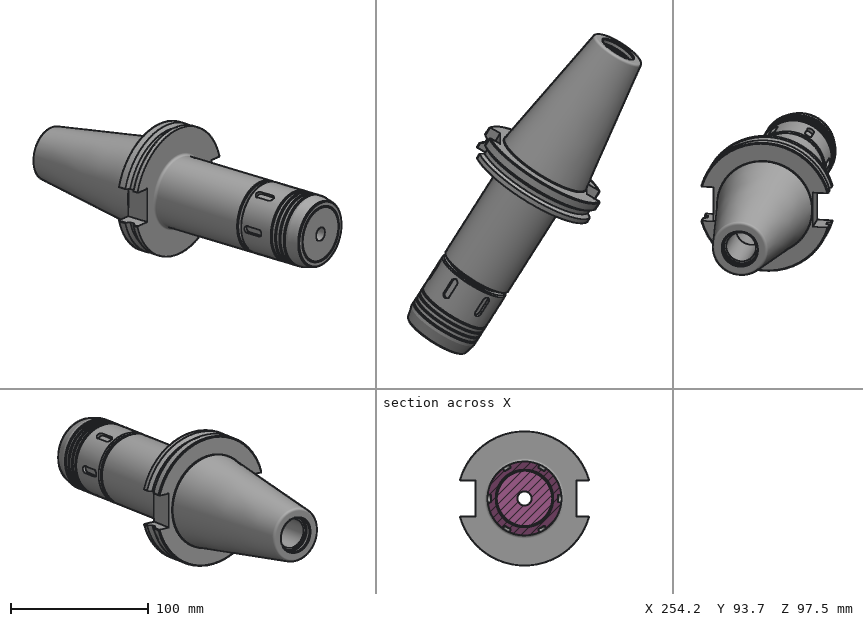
import cadquery as cq
import math

total_length = 254.2

taper_large_dia = 70.0
taper_length = 102.0
taper_ratio = 7 / 24
taper_small_dia = taper_large_dia - taper_length * taper_ratio
taper_end_fillet = 2.0
seat_dia = 70.5

flange_dia = 97.5
flange_start = 102.7
flange_end = 120.7
flange_chamfer = 0.8
groove_start = 109.3
groove_end = 117.0
groove_depth = 3.0
groove_side_run = 2.0

drive_slot_width = 26.0
drive_slot_floor_back = 37.9
drive_slot_floor_front = 35.5
drive_slot_edge_chamfer = 0.5

body_dia = 54.0
body_end = 198.5
body_end_chamfer = 0.8
body_root_fillet = 2.0
collar_dia = 42.0
collar_end = 199.3
neck_dia = 40.5

mouth_dia = 27.0
mouth_chamfer_length = 1.0
clearance_dia = 26.0
clearance_depth = 4.0
step_dia = 25.0
step_depth = 5.3
drawbar_bore_dia = 21.9
drawbar_bore_depth = 45.8
drill_tip_angle = 118.0
coolant_dia = 10.2

sleeve_dia = 42.5

nut_dia = body_dia
nut_start = 200.8
nut_rear_chamfer = 1.0
nose_start = 245.3
nose_end = 253.5
nose_dia = 49.8
nose_chamfer = total_length - nose_end

grip_groove_count = 4
grip_groove_first = 229.8
grip_groove_pitch = 4.0
grip_groove_width = 1.0
grip_groove_depth = 0.5

spanner_slot_count = 6
spanner_slot_center = 212.7
spanner_slot_length = 16.0
spanner_slot_width = 5.3
spanner_slot_depth = 2.5


def revolve_profile(points):
    """Solid of revolution about X from a closed outline of (x, radius) points."""
    outline = cq.Workplane("XY").polyline(points).close()
    return outline.revolve(360, (0, 0, 0), (1, 0, 0))


def tube(start, end, outer_dia, inner_dia):
    """Plain tube along X."""
    rings = cq.Workplane("YZ", origin=(start, 0, 0)).circle(outer_dia / 2).circle(inner_dia / 2)
    return rings.extrude(end - start)


def shank_blank():
    """Taper, seat, body, collar and neck turned in one piece, without the flange."""
    body_radius = body_dia / 2
    blank = revolve_profile([
        (0, 0),
        (0, taper_small_dia / 2),
        (taper_length, taper_large_dia / 2),
        (taper_length, seat_dia / 2),
        (flange_end, seat_dia / 2),
        (flange_end, body_radius),
        (body_end - body_end_chamfer, body_radius),
        (body_end, body_radius - body_end_chamfer),
        (body_end, collar_dia / 2),
        (collar_end, collar_dia / 2),
        (collar_end, neck_dia / 2),
        (total_length, neck_dia / 2),
        (total_length, 0),
    ])
    return blank.faces("<X").edges().fillet(taper_end_fillet)


def flange():
    """Grooved flange disc with both drive slots."""
    radius = flange_dia / 2
    groove_radius = radius - groove_depth
    disc = revolve_profile([
        (flange_start, 0),
        (flange_start, radius - flange_chamfer),
        (flange_start + flange_chamfer, radius),
        (groove_start, radius),
        (groove_start + groove_side_run, groove_radius),
        (groove_end - groove_side_run, groove_radius),
        (groove_end, radius),
        (flange_end, radius),
        (flange_end, 0),
    ])
    disc = disc.cut(drive_slot(1, drive_slot_floor_back))
    return disc.cut(drive_slot(-1, drive_slot_floor_front))


def drive_slot(side, floor):
    """Cutter for one drive slot, widened at the rim to bevel the slot edges."""
    half_width = drive_slot_width / 2
    half_mouth = half_width + drive_slot_edge_chamfer
    rim = math.sqrt((flange_dia / 2) ** 2 - half_mouth ** 2)
    bevel_start = rim - drive_slot_edge_chamfer
    beyond = flange_dia / 2
    outline = cq.Workplane("YZ", origin=(flange_start, 0, 0)).polyline([
        (side * floor, -half_width),
        (side * bevel_start, -half_width),
        (side * rim, -half_mouth),
        (side * beyond, -half_mouth),
        (side * beyond, half_mouth),
        (side * rim, half_mouth),
        (side * bevel_start, half_width),
        (side * floor, half_width),
    ]).close()
    return outline.extrude(flange_end - flange_start)


def root_fillet():
    """Concave ring that blends the body into the flange."""
    radius = body_dia / 2
    mid_offset = body_root_fillet * (1 - math.sqrt(0.5))
    outline = (
        cq.Workplane("XY")
        .moveTo(flange_end, radius)
        .lineTo(flange_end, radius + body_root_fillet)
        .threePointArc(
            (flange_end + mid_offset, radius + mid_offset),
            (flange_end + body_root_fillet, radius),
        )
        .close()
    )
    return outline.revolve(360, (0, 0, 0), (1, 0, 0))


def axial_hole():
    """Cutter for the stepped drawbar hole and the coolant hole through to the front."""
    tip_slope = math.tan(math.radians(drill_tip_angle / 2))
    tip_length = (drawbar_bore_dia - coolant_dia) / 2 / tip_slope
    return revolve_profile([
        (0, 0),
        (0, mouth_dia / 2),
        (mouth_chamfer_length, clearance_dia / 2),
        (clearance_depth, clearance_dia / 2),
        (clearance_depth, step_dia / 2),
        (step_depth, step_dia / 2),
        (step_depth, drawbar_bore_dia / 2),
        (drawbar_bore_depth, drawbar_bore_dia / 2),
        (drawbar_bore_depth + tip_length, coolant_dia / 2),
        (total_length, coolant_dia / 2),
        (total_length, 0),
    ])


def make_holder():
    """Tool holder: shank, flange, body and neck."""
    solid = shank_blank().union(flange()).union(root_fillet())
    return solid.cut(axial_hole())


def make_sleeve():
    """Thin sleeve on the neck, running from the collar to the front face."""
    return tube(collar_end, total_length, sleeve_dia, neck_dia)


def nut_blank():
    """Turned nut with a conical nose, bored to fit over the sleeve."""
    radius = nut_dia / 2
    bore_radius = sleeve_dia / 2
    return revolve_profile([
        (nut_start, bore_radius),
        (nut_start, radius - nut_rear_chamfer),
        (nut_start + nut_rear_chamfer, radius),
        (nose_start, radius),
        (nose_end, nose_dia / 2),
        (total_length, nose_dia / 2 - nose_chamfer),
        (total_length, bore_radius),
    ])


def spanner_slot(angle):
    """Cutter for one flat-bottomed spanner slot, turned by an angle about X from -Y."""
    floor = nut_dia / 2 - spanner_slot_depth
    slot = (
        cq.Workplane("XZ", origin=(spanner_slot_center, -floor, 0))
        .slot2D(spanner_slot_length, spanner_slot_width)
        .extrude(2 * spanner_slot_depth)
    )
    return slot.rotate((0, 0, 0), (1, 0, 0), angle)


def make_nut():
    """Clamping nut with grip grooves and spanner slots."""
    nut = nut_blank()
    groove_floor_dia = nut_dia - 2 * grip_groove_depth
    cutter_dia = nut_dia + 2 * grip_groove_depth
    for index in range(grip_groove_count):
        start = grip_groove_first + index * grip_groove_pitch - grip_groove_width / 2
        end = start + grip_groove_width
        nut = nut.cut(tube(start, end, cutter_dia, groove_floor_dia))
    for index in range(spanner_slot_count):
        nut = nut.cut(spanner_slot(index * 360 / spanner_slot_count))
    return nut


holder = make_holder()
sleeve = make_sleeve()
nut = make_nut()

result = cq.Compound.makeCompound([holder.val(), sleeve.val(), nut.val()])